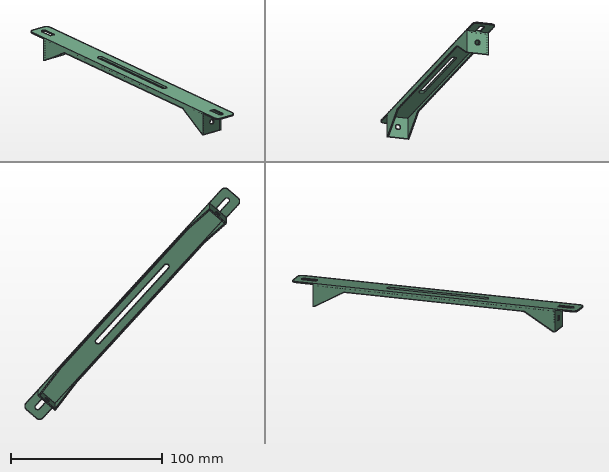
import cadquery as cq

length = 200.0
width = 15.0
height = 16.0
sheet = 0.85
web_thickness = 2 * sheet

leg_face = 85.0
leg_toe = 1.0
gusset_start = 63.2
rail_depth = 4.0
corner_radius = 3.0

slot_width = 3.5
middle_slot_length = 71.5
end_slot_tip = 95.5
leg_hole_drop = (sheet + height) / 2
leg_hole_diameter = 3.5


def top_plate():
    """Flat strip with rounded corners; its top face lies at Z = 0."""
    plate = cq.Workplane("XY").rect(length, width).extrude(-sheet)
    return plate.edges("|Z").fillet(corner_radius)


def channel():
    """Channel under the plate: a web, two side flanges with gussets and a leg at each end."""
    profile = [
        (-leg_face, 0),
        (-leg_face, -height),
        (-leg_face + leg_toe, -height),
        (-gusset_start, -rail_depth),
        (gusset_start, -rail_depth),
        (leg_face - leg_toe, -height),
        (leg_face, -height),
        (leg_face, 0),
    ]
    body = cq.Workplane("XZ").polyline(profile).close().extrude(width / 2, both=True)
    inside = (
        cq.Workplane("XY")
        .workplane(offset=-web_thickness)
        .rect(2 * (leg_face - sheet), width - 2 * sheet)
        .extrude(-height)
    )
    return body.cut(inside)


def middle_slot():
    return cq.Workplane("XY").slot2D(middle_slot_length, slot_width).extrude(-web_thickness)


def end_slot(side):
    """Slot in the overhanging plate: round outer tip, square end flush with the leg face."""
    square_end = side * leg_face
    tip = side * end_slot_tip
    arc_start = side * (end_slot_tip - slot_width / 2)
    return (
        cq.Workplane("XY")
        .moveTo(square_end, -slot_width / 2)
        .lineTo(arc_start, -slot_width / 2)
        .threePointArc((tip, 0), (arc_start, slot_width / 2))
        .lineTo(square_end, slot_width / 2)
        .close()
        .extrude(-sheet)
    )


def leg_holes():
    """One cylinder along X that pierces both legs."""
    return (
        cq.Workplane("YZ")
        .center(0, -leg_hole_drop)
        .circle(leg_hole_diameter / 2)
        .extrude(leg_face, both=True)
    )


result = top_plate().union(channel()).cut(middle_slot()).cut(leg_holes())
for side in (-1, 1):
    result = result.cut(end_slot(side))